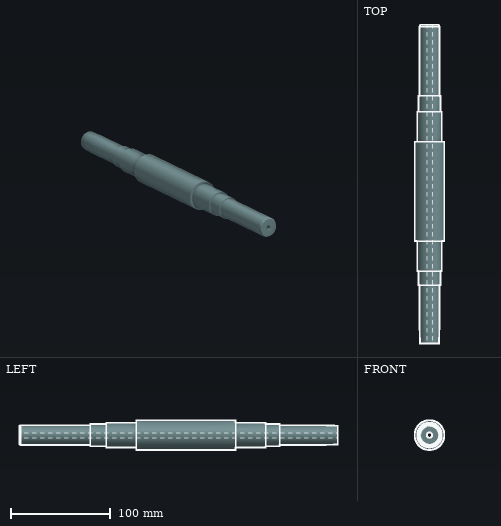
import cadquery as cq

shaft_length = 320.0
bore_diameter = 5.0

body_diameter = 30.0
journal_diameter = 25.0
shoulder_diameter = 22.5
end_diameter = 20.0
taper_tip_diameter = 19.2

taper_length = 15.0
front_end_length = 43.5
front_shoulder_length = 14.0
journal_length = 30.0
body_length = 100.0
rear_shoulder_length = 16.0

chamfer_length = 2.0
chamfer_depth = 1.0


def frustum(start, length, start_diameter, finish_diameter):
    """Solid along Y whose diameter changes evenly from one end to the other."""
    start_radius = start_diameter / 2
    finish_radius = finish_diameter / 2
    return (
        cq.Workplane("XY")
        .moveTo(0, start)
        .lineTo(start_radius, start)
        .lineTo(finish_radius, start + length)
        .lineTo(0, start + length)
        .close()
        .revolve(360, (0, 0, 0), (0, 1, 0))
    )


rear_end_length = shaft_length - chamfer_length - (
    taper_length
    + front_end_length
    + front_shoulder_length
    + 2 * journal_length
    + body_length
    + rear_shoulder_length
)

sections = [
    (taper_length, taper_tip_diameter, end_diameter),
    (front_end_length, end_diameter, end_diameter),
    (front_shoulder_length, shoulder_diameter, shoulder_diameter),
    (journal_length, journal_diameter, journal_diameter),
    (body_length, body_diameter, body_diameter),
    (journal_length, journal_diameter, journal_diameter),
    (rear_shoulder_length, shoulder_diameter, shoulder_diameter),
    (rear_end_length, end_diameter, end_diameter),
    (chamfer_length, end_diameter, end_diameter - 2 * chamfer_depth),
]

shaft = cq.Workplane("XY")
section_start = -shaft_length / 2
for length, start_diameter, finish_diameter in sections:
    shaft = shaft.union(frustum(section_start, length, start_diameter, finish_diameter))
    section_start += length

bore = frustum(-shaft_length / 2, shaft_length, bore_diameter, bore_diameter)
result = shaft.cut(bore)